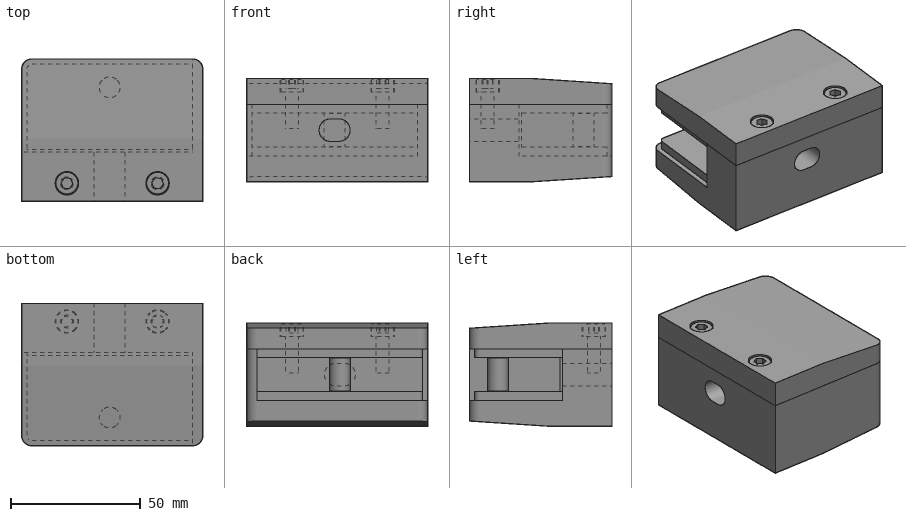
import cadquery as cq

WIDTH = 70.0
DEPTH = 55.0
HEIGHT = 40.0

JAW_THICKNESS = 10.0
WEB_DEPTH = 19.05
TAPER_START = 24.0
TAPER_DROP = 2.0
CORNER_RADIUS = 4.05
END_WALL = CORNER_RADIUS
GAP_BOTTOM = JAW_THICKNESS
GAP_TOP = HEIGHT - JAW_THICKNESS
MID_HEIGHT = HEIGHT / 2

PAD_INSET = 2.0
PAD_THICKNESS = 3.4
PAD_CORNER_RADIUS = CORNER_RADIUS - PAD_INSET
PAD_LENGTH = WIDTH - END_WALL - PAD_INSET
PAD_MID_X = PAD_INSET + PAD_LENGTH / 2
STRIP_THICKNESS = 1.05
CLEAR_GAP = GAP_TOP - GAP_BOTTOM - 2 * PAD_THICKNESS

PIN_DIAMETER = 8.05
PIN_END_GAP = 0.2
PIN_Y = 44.0

OBLONG_LENGTH = 12.0
OBLONG_HEIGHT = 8.7

SCREW_SPACING = WIDTH / 2
SCREW_XS = [(WIDTH + side * SCREW_SPACING) / 2 for side in (-1, 1)]
SCREW_Y = 7.0
HEAD_DIAMETER = 8.5
HEAD_HEIGHT = 5.0
HEAD_ROUND = 0.5
HEAD_RECESS = 0.35
COUNTERBORE_DIAMETER = 9.0
SHANK_DIAMETER = 5.0
SHANK_LENGTH = 14.0
HEX_ACROSS_CORNERS = 4.6
HEX_DEPTH = 3.5
HEX_TURN = -6.0
HEAD_TOP = HEIGHT - HEAD_RECESS
HEAD_SEAT = HEAD_TOP - HEAD_HEIGHT
SHANK_END = HEAD_SEAT - SHANK_LENGTH


def box(x_size, y_size, z_size, corner):
    """Box whose lowest X, Y, Z corner is given."""
    return cq.Workplane("XY").box(x_size, y_size, z_size, centered=False).translate(corner)


def cylinder(diameter, x, y, z_bottom, z_top):
    """Vertical cylinder between two heights."""
    return cq.Workplane("XY", origin=(x, y, z_bottom)).circle(diameter / 2).extrude(z_top - z_bottom)


def make_clamp_block():
    """Whole outer block: tapered side profile with rounded jaw tips."""
    profile = [
        (0, 0),
        (TAPER_START, 0),
        (DEPTH, TAPER_DROP),
        (DEPTH, HEIGHT - TAPER_DROP),
        (TAPER_START, HEIGHT),
        (0, HEIGHT),
    ]
    block = cq.Workplane("YZ").polyline(profile).close().extrude(WIDTH)
    return block.edges("|Z and >Y").fillet(CORNER_RADIUS)


def make_housing():
    """Lower jaw, web and end wall, with the oblong hole and the screw holes."""
    lower_part = box(WIDTH, DEPTH, GAP_TOP, (0, 0, 0))
    gap = box(WIDTH - END_WALL, DEPTH - WEB_DEPTH, GAP_TOP - GAP_BOTTOM, (0, WEB_DEPTH, GAP_BOTTOM))
    oblong_hole = (
        cq.Workplane("XZ", origin=(PAD_MID_X, 0, MID_HEIGHT))
        .slot2D(OBLONG_LENGTH, OBLONG_HEIGHT)
        .extrude(-WEB_DEPTH)
    )
    housing = make_clamp_block().intersect(lower_part).cut(gap).cut(oblong_hole)
    for x in SCREW_XS:
        housing = housing.cut(cylinder(SHANK_DIAMETER, x, SCREW_Y, SHANK_END, GAP_TOP))
    return housing


def make_cap():
    """Upper jaw with counterbored screw holes."""
    upper_part = box(WIDTH, DEPTH, JAW_THICKNESS, (0, 0, GAP_TOP))
    cap = make_clamp_block().intersect(upper_part)
    for x in SCREW_XS:
        cap = cap.cut(cylinder(SHANK_DIAMETER, x, SCREW_Y, GAP_TOP, HEIGHT))
        cap = cap.cut(cylinder(COUNTERBORE_DIAMETER, x, SCREW_Y, HEAD_SEAT, HEIGHT))
    return cap


def make_pad(z_bottom):
    """Flat jaw lining, inset from the free jaw edges, with one rounded corner."""
    pad_depth = DEPTH - PAD_INSET - WEB_DEPTH
    pad = box(PAD_LENGTH, pad_depth, PAD_THICKNESS, (PAD_INSET, WEB_DEPTH, z_bottom))
    return pad.edges("|Z and <X and >Y").fillet(PAD_CORNER_RADIUS)


def make_back_strip():
    """Thin strip on the web between the pads, closing the oblong hole."""
    corner = (PAD_INSET, WEB_DEPTH, GAP_BOTTOM + PAD_THICKNESS)
    return box(PAD_LENGTH, STRIP_THICKNESS, CLEAR_GAP, corner)


def make_stop_pin():
    """Round pin standing in the space between the pads, just clear of both."""
    pin_bottom = GAP_BOTTOM + PAD_THICKNESS + PIN_END_GAP
    pin_top = GAP_TOP - PAD_THICKNESS - PIN_END_GAP
    return cylinder(PIN_DIAMETER, PAD_MID_X, PIN_Y, pin_bottom, pin_top)


def make_screw(x):
    """Socket head screw with a rounded head edge."""
    head = cylinder(HEAD_DIAMETER, x, SCREW_Y, HEAD_SEAT, HEAD_TOP).faces(">Z").edges().fillet(HEAD_ROUND)
    shank = cylinder(SHANK_DIAMETER, x, SCREW_Y, SHANK_END, HEAD_SEAT)
    socket = (
        cq.Workplane("XY", origin=(x, SCREW_Y, HEAD_TOP))
        .transformed(rotate=(0, 0, HEX_TURN))
        .polygon(6, HEX_ACROSS_CORNERS)
        .extrude(-HEX_DEPTH)
    )
    return head.union(shank).cut(socket)


housing = make_housing()
cap = make_cap()
pads = [make_pad(z) for z in (GAP_BOTTOM, GAP_TOP - PAD_THICKNESS)]
back_strip = make_back_strip()
stop_pin = make_stop_pin()
screws = [make_screw(x) for x in SCREW_XS]

result = cq.Compound.makeCompound([
    housing.val(),
    cap.val(),
    *[pad.val() for pad in pads],
    back_strip.val(),
    stop_pin.val(),
    *[screw.val() for screw in screws],
])